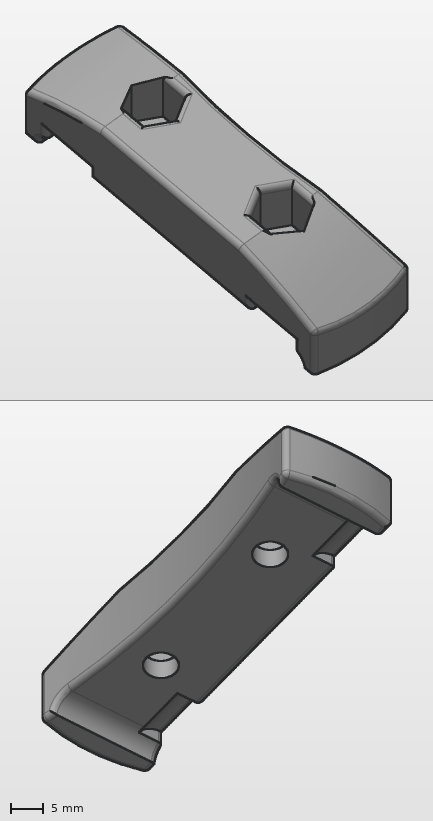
import cadquery as cq
import math

length = 68.0
height = 16.5
middle_depth = 16.45
end_corner_y = 20.0
end_radius = length / 2
crown_half_width = 15.7
crown_radius = 75.0
edge_radius = 1.0

pick_margin = 0.1
clearance = 0.7

recess_height = 3.05
recess_half_width = 29.9
pocket_inner_x = 18.0
pocket_outer_x = 28.1
pocket_radius = 5.45

hole_x = 14.55
hole_y = end_corner_y / 2
hole_diameter = 5.5
hex_corner_diameter = 9.85
hex_floor = 6.8

end_corner_x = math.sqrt(end_radius**2 - hole_y**2)
crown_center_z = height - math.sqrt(crown_radius**2 - crown_half_width**2)


def crown_z(x):
    """Height of the arched shoulder at x."""
    return crown_center_z + math.sqrt(crown_radius**2 - x**2)


def make_plan():
    """Footprint with bulging ends and a hollow back, drawn to full height."""
    return (
        cq.Workplane("XY")
        .moveTo(-end_corner_x, 0)
        .lineTo(end_corner_x, 0)
        .threePointArc((length / 2, hole_y), (end_corner_x, end_corner_y))
        .threePointArc((0, middle_depth), (-end_corner_x, end_corner_y))
        .threePointArc((-length / 2, hole_y), (-end_corner_x, 0))
        .close()
        .extrude(height)
    )


def make_profile():
    """Front outline: flat crown, arched shoulders and a round-cornered recess below."""
    side = length / 2 + clearance
    shoulder_x = (crown_half_width + side) / 2
    recess_flat_x = recess_half_width - recess_height
    arc_offset = recess_height * math.sqrt(0.5)
    return (
        cq.Workplane("XZ")
        .moveTo(-side, 0)
        .lineTo(-recess_half_width, 0)
        .threePointArc((-recess_flat_x - arc_offset, arc_offset), (-recess_flat_x, recess_height))
        .lineTo(recess_flat_x, recess_height)
        .threePointArc((recess_flat_x + arc_offset, arc_offset), (recess_half_width, 0))
        .lineTo(side, 0)
        .lineTo(side, crown_z(side))
        .threePointArc((shoulder_x, crown_z(shoulder_x)), (crown_half_width, height))
        .lineTo(-crown_half_width, height)
        .threePointArc((-shoulder_x, crown_z(shoulder_x)), (-side, crown_z(side)))
        .close()
        .extrude(-end_corner_y - clearance)
    )


def make_pocket(side):
    """Round-roofed pocket along the lower front edge."""
    start_x = pocket_inner_x if side > 0 else -pocket_outer_x
    return (
        cq.Workplane("YZ", origin=(start_x, 0, 0))
        .circle(pocket_radius)
        .extrude(pocket_outer_x - pocket_inner_x)
    )


def round_outer_edges(body):
    """Round the front, back and end outlines; only the upright front corner at -X stays sharp."""
    def is_rounded(edge):
        box = edge.BoundingBox()
        upright = box.xlen < pick_margin and box.ylen < pick_margin and box.zlen > height / 2
        on_front = box.ymax < pick_margin
        on_back = box.ymin > middle_depth - pick_margin
        on_end = min(abs(box.xmin), abs(box.xmax)) > end_corner_x - pick_margin
        sharp_corner = upright and on_front and box.xmax < 0
        return not sharp_corner and (on_front or on_back or on_end)

    rounded_edges = [edge for edge in body.edges().vals() if is_rounded(edge)]
    return body.newObject(rounded_edges).fillet(edge_radius)


def cut_bolt_hole(body, side):
    """Through hole under a deep hexagon whose rim is rounded on the flat crown only."""
    center = (side * hole_x, hole_y)
    hole = cq.Workplane("XY").center(*center).circle(hole_diameter / 2).extrude(height)
    hexagon = (
        cq.Workplane("XY", origin=(0, 0, hex_floor))
        .center(*center)
        .polygon(6, hex_corner_diameter)
        .extrude(height)
    )
    body = body.cut(hole).cut(hexagon)
    reach = hex_corner_diameter / 2 + pick_margin
    rim_box = cq.selectors.BoxSelector(
        (center[0] - reach, hole_y - reach, height - pick_margin),
        (center[0] + reach, hole_y + reach, height + pick_margin),
        boundingbox=True,
    )
    return body.edges(rim_box).fillet(edge_radius)


body = make_plan().intersect(make_profile())
for side in (-1, 1):
    body = body.cut(make_pocket(side))
body = round_outer_edges(body)
for side in (-1, 1):
    body = cut_bolt_hole(body, side)

result = body